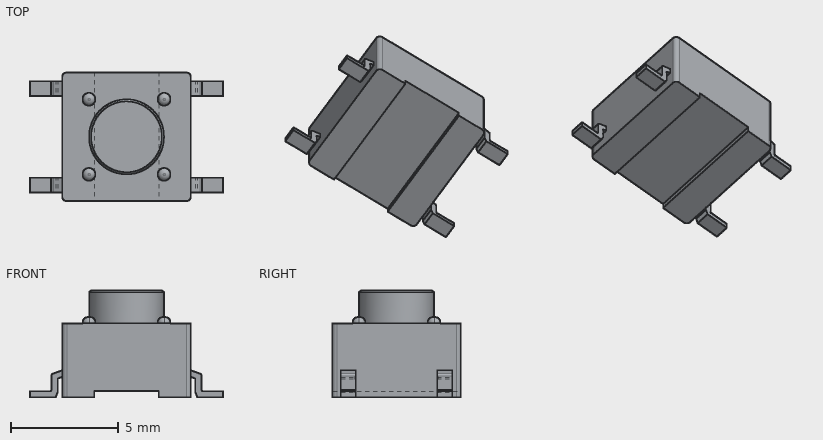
import cadquery as cq
import math

body_width = 6.0
body_top = 3.45
body_corner_radius = 0.21
channel_width = 3.0
channel_depth = 0.3

overall_height = 5.0
button_diameter = 3.5
button_chamfer = 0.1

post_diameter = 0.6
post_height = 0.3
post_rounding = 0.25
post_spacing = 3.5

overall_length = 9.0
terminal_width = 0.7
terminal_spacing = 4.5
terminal_thickness = 0.3
riser_outer_x = 3.5
shoulder_slope = math.radians(20)
shoulder_exit_z = 1.27
shoulder_outer_radius = 0.125
foot_bevel_length = 0.03
foot_bevel_height = 0.07
heel_bevel_length = 0.1
heel_bevel_height = 0.25

body_half = body_width / 2
embed_depth = 0.1


def make_housing():
    """Block with rounded upright edges and a channel along Y in its underside."""
    block = (
        cq.Workplane("XY")
        .rect(body_width, body_width)
        .extrude(body_top)
        .edges("|Z")
        .fillet(body_corner_radius)
    )
    channel = cq.Workplane("XY").rect(channel_width, body_width).extrude(channel_depth)
    return block.cut(channel)


def make_button():
    """Cylinder rising from the housing top to the full height."""
    return (
        cq.Workplane("XY")
        .workplane(offset=body_top)
        .circle(button_diameter / 2)
        .extrude(overall_height - body_top)
        .faces(">Z")
        .chamfer(button_chamfer)
    )


def make_posts():
    """Four short pins with rounded tops."""
    return (
        cq.Workplane("XY")
        .workplane(offset=body_top)
        .rect(post_spacing, post_spacing, forConstruction=True)
        .vertices()
        .circle(post_diameter / 2)
        .extrude(post_height)
        .faces(">Z")
        .edges()
        .fillet(post_rounding)
    )


def make_terminal(y_center):
    """Terminal on the +X side: sloping shoulder, upright riser and flat foot."""
    tip_x = overall_length / 2
    riser_inner_x = riser_outer_x - terminal_thickness
    root_x = body_half - embed_depth
    slope_thickness = terminal_thickness / math.cos(shoulder_slope)

    def shoulder_top(x):
        return shoulder_exit_z - (x - body_half) * math.tan(shoulder_slope)

    def shoulder_bottom(x):
        return shoulder_top(x) - slope_thickness

    strip = (
        cq.Workplane("XZ", origin=(0, y_center + terminal_width / 2, 0))
        .moveTo(root_x, shoulder_top(root_x))
        .lineTo(riser_outer_x, shoulder_top(riser_outer_x))
        .lineTo(riser_outer_x, terminal_thickness + foot_bevel_height)
        .lineTo(riser_outer_x + foot_bevel_length, terminal_thickness)
        .lineTo(tip_x, terminal_thickness)
        .lineTo(tip_x, 0)
        .lineTo(riser_inner_x + heel_bevel_length, 0)
        .lineTo(riser_inner_x, heel_bevel_height)
        .lineTo(riser_inner_x, shoulder_bottom(riser_inner_x))
        .lineTo(root_x, shoulder_bottom(root_x))
        .close()
        .extrude(terminal_width)
    )
    shoulder_edge = cq.NearestToPointSelector((riser_outer_x, y_center, shoulder_top(riser_outer_x)))
    return strip.edges("|Y").edges(shoulder_edge).fillet(shoulder_outer_radius)


result = make_housing().union(make_button()).union(make_posts())
for y_center in (-terminal_spacing / 2, terminal_spacing / 2):
    terminal = make_terminal(y_center)
    result = result.union(terminal).union(terminal.mirror("YZ"))